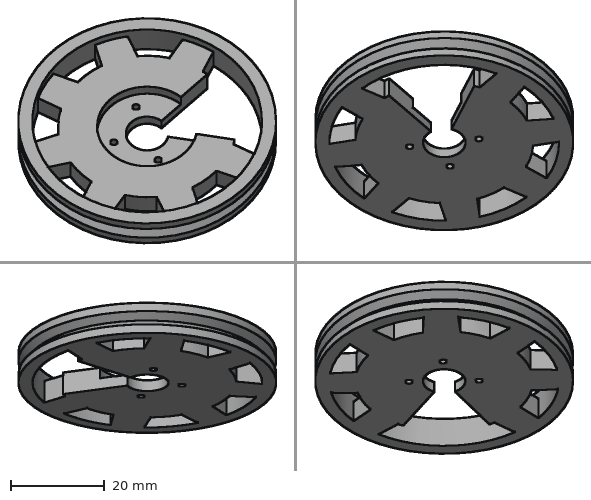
import cadquery as cq
import math

rim_radius = 27.5
rim_inner_radius = 24.5
rim_height = 7.0
groove_depth = 1.55
groove_half_width = 1.55

disc_radius = 19.0
disc_height = 5.0
spoke_count = 8
spoke_pitch = 360 / spoke_count
spoke_root_half_width = 4.0
spoke_tip_half_width = 3.65
spoke_root_radius = 18.65
spoke_tip_radius = 24.65

recess_radius = 10.65
recess_depth = 2.5
bore_radius = 4.5
hole_diameter = 1.5
hole_circle_radius = 7.5
hole_count = 4

opening_center_angle = 1.5 * spoke_pitch
opening_half_angle = 29.0


def polar_point(radius, angle):
    """Return the XY point at a radius and an angle in degrees."""
    return (
        radius * math.cos(math.radians(angle)),
        radius * math.sin(math.radians(angle)),
    )


def make_rim():
    """Revolve the rim section with its V groove at mid-height."""
    middle = rim_height / 2
    section = [
        (rim_inner_radius, 0),
        (rim_radius, 0),
        (rim_radius, middle - groove_half_width),
        (rim_radius - groove_depth, middle),
        (rim_radius, middle + groove_half_width),
        (rim_radius, rim_height),
        (rim_inner_radius, rim_height),
    ]
    return cq.Workplane("XZ").polyline(section).close().revolve(360, (0, 0), (0, 1))


def make_spoke(angle):
    """Make one tapered spoke whose tip sinks into the rim."""
    outline = [
        (0, -spoke_root_half_width),
        (spoke_root_radius, -spoke_root_half_width),
        (spoke_tip_radius, -spoke_tip_half_width),
        (spoke_tip_radius, spoke_tip_half_width),
        (spoke_root_radius, spoke_root_half_width),
        (0, spoke_root_half_width),
    ]
    spoke = cq.Workplane("XY").polyline(outline).close().extrude(disc_height)
    return spoke.rotate((0, 0, 0), (0, 0, 1), angle)


def make_opening():
    """Make the sector removed from the disc, reaching the rim bore."""
    start = polar_point(rim_inner_radius, opening_center_angle - opening_half_angle)
    middle = polar_point(rim_inner_radius, opening_center_angle)
    end = polar_point(rim_inner_radius, opening_center_angle + opening_half_angle)
    outline = cq.Workplane("XY").lineTo(*start).threePointArc(middle, end).close()
    return outline.extrude(disc_height)


def make_disc():
    """Make the disc with its spokes, hub recess, bore, holes and opening."""
    disc = cq.Workplane("XY").circle(disc_radius).extrude(disc_height)
    for index in range(spoke_count):
        angle = (index + 0.5) * spoke_pitch
        if not math.isclose(angle, opening_center_angle):
            disc = disc.union(make_spoke(angle))

    recess = (
        cq.Workplane("XY", origin=(0, 0, disc_height - recess_depth))
        .circle(recess_radius)
        .extrude(recess_depth)
    )
    bore = cq.Workplane("XY").circle(bore_radius).extrude(disc_height)
    holes = (
        cq.Workplane("XY")
        .polarArray(hole_circle_radius, opening_center_angle, 360, hole_count)
        .circle(hole_diameter / 2)
        .extrude(disc_height)
    )
    return disc.cut(recess).cut(bore).cut(holes).cut(make_opening())


result = make_rim().union(make_disc())